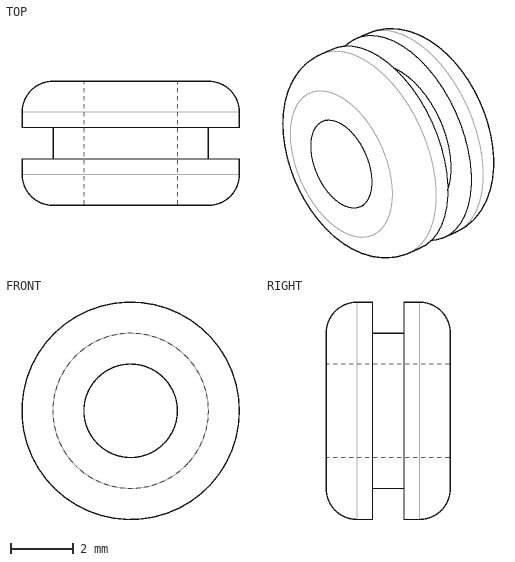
import cadquery as cq

outer_diameter = 7.0
length = outer_diameter * 4 / 7
bore_diameter = outer_diameter * 3 / 7
neck_diameter = outer_diameter * 5 / 7
groove_width = length / 4
rim_radius = (outer_diameter - neck_diameter) / 2


def cylinder_along_y(diameter, height):
    """Solid cylinder on the Y axis, centred on the origin."""
    end_plane = cq.Workplane("XZ", origin=(0, height / 2, 0))
    return end_plane.circle(diameter / 2).extrude(height)


body = cylinder_along_y(outer_diameter, length).edges("%CIRCLE").fillet(rim_radius)

groove = cylinder_along_y(outer_diameter, groove_width).cut(
    cylinder_along_y(neck_diameter, groove_width)
)

bore = cylinder_along_y(bore_diameter, length)

result = body.cut(groove).cut(bore)